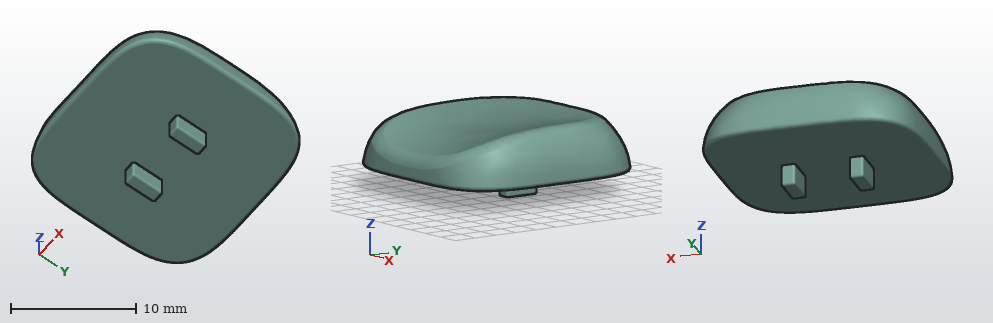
import cadquery as cq
import math

size_x = 17.97
size_y = 17.95
wall_radius = 5.75
bottom_edge_radius = 0.3
widest_z = bottom_edge_radius
dome_top = 4.85
section_count = 6
points_per_section = 40
bottom_exponent = 4.2
top_exponent = 3.0

dish_center_z = 3.58
bowl_radius = 29.65
roll_radius = 23.36
flat_y = 7.19
back_flattening = 0.95
dish_reach_x = 10.78
dish_reach_y = 10.06
dish_cutter_top = 12.58
rim_radius = 1.35

leg_spacing = 5.7
leg_x = 1.19
leg_y = 3.0
leg_length = 1.78
leg_edge_radius = 0.2
leg_overlap = 0.9


def arc_sag(radius, distance):
    """Departure of an arc from its tangent line, at a distance from the tangent point."""
    return radius - math.sqrt(radius**2 - distance**2)


def superellipse_point(angle, half_x, half_y, exponent):
    """Point on |x/half_x|^n + |y/half_y|^n = 1, angle taken before scaling by the half sizes."""
    c = math.cos(angle)
    s = math.sin(angle)
    reach = (abs(c) ** exponent + abs(s) ** exponent) ** (-1 / exponent)
    return cq.Vector(half_x * reach * c, half_y * reach * s)


def dome_section(z):
    """Closed outline of the dome at height z."""
    inset = arc_sag(wall_radius, z - widest_z)
    exponent = bottom_exponent + (top_exponent - bottom_exponent) * z / dome_top
    points = []
    for i in range(points_per_section):
        angle = 2 * math.pi * i / points_per_section
        points.append(superellipse_point(angle, size_x / 2 - inset, size_y / 2 - inset, exponent))
    outline = cq.Edge.makeSpline(points, periodic=True)
    return cq.Wire.assembleEdges([outline]).moved(cq.Location(cq.Vector(0, 0, z)))


def make_dome():
    heights = [dome_top * i / (section_count - 1) for i in range(section_count)]
    return cq.Workplane(obj=cq.Solid.makeLoft([dome_section(z) for z in heights]))


def dish_section(y):
    """Region above the dish at position y: the arc across X flattens towards the back."""
    side_rise = arc_sag(bowl_radius, dish_reach_x)
    if y < 0:
        middle_z = dish_center_z - arc_sag(roll_radius, y)
    else:
        middle_z = dish_center_z + arc_sag(bowl_radius, y)
        side_rise *= 1 - back_flattening * min(1, (y / flat_y) ** 2)
    left = cq.Vector(-dish_reach_x, y, middle_z + side_rise)
    middle = cq.Vector(0, y, middle_z)
    right = cq.Vector(dish_reach_x, y, middle_z + side_rise)
    top_right = cq.Vector(dish_reach_x, y, dish_cutter_top)
    top_left = cq.Vector(-dish_reach_x, y, dish_cutter_top)
    return cq.Wire.assembleEdges(
        [
            cq.Edge.makeThreePointArc(left, middle, right),
            cq.Edge.makeLine(right, top_right),
            cq.Edge.makeLine(top_right, top_left),
            cq.Edge.makeLine(top_left, left),
        ]
    )


def make_dish_cutter():
    inner_ys = (-flat_y, -flat_y / 2, 0, flat_y / 2, flat_y)
    sections = [dish_section(y) for y in (-dish_reach_y, *inner_ys, dish_reach_y)]
    return cq.Workplane(obj=cq.Solid.makeLoft(sections))


def make_shell():
    shell = make_dome().cut(make_dish_cutter())
    dish_center = cq.selectors.NearestToPointSelector((0, 0, dish_center_z))
    shell = shell.faces(dish_center).edges().fillet(rim_radius)
    return shell.faces("<Z").edges().fillet(bottom_edge_radius)


def make_leg(x):
    return (
        cq.Workplane("XY")
        .box(leg_x, leg_y, leg_length + leg_overlap, centered=(True, True, False))
        .edges("|Z or <Z")
        .fillet(leg_edge_radius)
        .translate((x, 0, -leg_length))
    )


result = make_shell()
for x in (-leg_spacing / 2, leg_spacing / 2):
    result = result.union(make_leg(x))